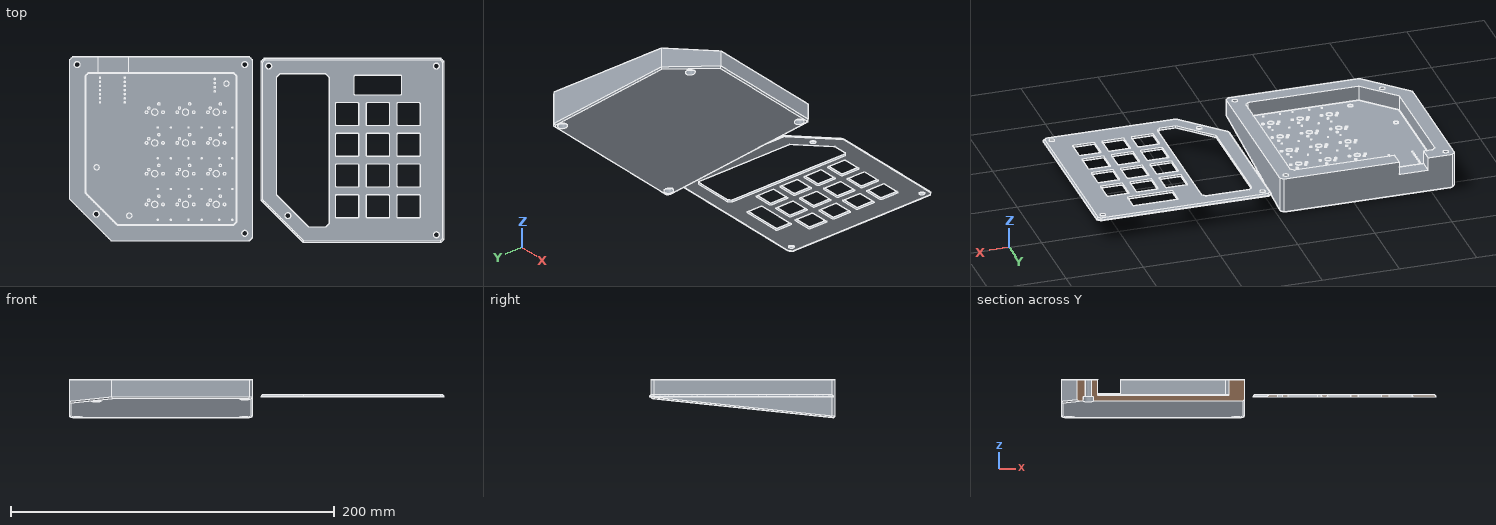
import cadquery as cq
import math

outline_width = 113.2
outline_length = 114.0
outline_cut = 26.2
corner_bevel = 2.0

case_height = 23.5
wall = 9.7
pocket_cut = 20.0
bottom_slope = 6.0
bottom_chamfer = 1.0
notch_width = 18.8
notch_center_x = 27.0
notch_depth = 8.5

screw_diameter = 3.5
screw_inset = 4.9
cut_screw = (16.7, 16.7)
head_diameter = 6.0
head_depth = 3.0

board_top_depth = 9.3
board_thickness = 0.35
board_gap = 0.5
pocket_depth = board_top_depth + board_thickness
mount_diameter = 3.2
mount_points = [(17.0, 45.5), (37.0, 15.7), (97.0, 97.2)]

key_pitch = 19.0
key_columns = 3
key_rows = 4
board_keys_center = (71.8, 51.2)
stem_diameter = 4.0
guide_diameter = 1.7
guide_offset = 5.0
contact_diameter = 1.5
contact_points = [(-3.7, 2.5), (2.5, 5.0)]
diode_diameter = 0.8
diode_points = [(1.9, -9.5), (10.0, -9.5)]

pin_pitch = 2.5
controller_pin_diameter = 0.88
controller_pins = 7
controller_center_y = 93.3
controller_row_spacing = 15.3
controller_center_x = 26.6
display_pin_diameter = 1.0
display_pins = 4
display_pins_center = (89.8, 96.3)

plate_corner = (118.3, -1.0)
plate_bottom = -10.9
plate_thickness = 1.5
plate_chamfer = 1.0
window_right = 42.1
key_opening = 14.1
plate_keys_center = (72.2, 51.0)
opening_radius = 0.5
display_width = 29.2
display_length = 12.0
display_center = (72.2, 97.2)


def cut_corner_prism(left, front, right, rear, cut, bevel, bottom, height):
    """Upright prism on a rectangle with a 45 degree front left corner and three small bevelled corners."""
    points = [
        (left + cut, front),
        (right, front),
        (right, rear),
        (left, rear),
        (left, front + cut),
    ]
    prism = cq.Workplane("XY", origin=(0, 0, bottom)).polyline(points).close().extrude(height)
    for x, y in points[1:4]:
        prism = prism.edges(cq.selectors.NearestToPointSelector((x, y, bottom + height / 2))).chamfer(bevel)
    return prism


def pegs(points, diameter, bottom, height):
    """Upright cylinders for drilling holes at the given points."""
    return cq.Workplane("XY", origin=(0, 0, bottom)).pushPoints(points).circle(diameter / 2).extrude(height)


def key_centers(center):
    """Centres of all the keys of a keypad with the given middle."""
    return [
        (
            center[0] + (column - (key_columns - 1) / 2) * key_pitch,
            center[1] + (row - (key_rows - 1) / 2) * key_pitch,
        )
        for column in range(key_columns)
        for row in range(key_rows)
    ]


def around_keys(offsets):
    """The given offsets repeated around every key centre of the board."""
    return [(x + dx, y + dy) for x, y in key_centers(board_keys_center) for dx, dy in offsets]


def pin_row(x, center_y, count):
    """Points of one header row running along Y."""
    return [(x, center_y + (i - (count - 1) / 2) * pin_pitch) for i in range(count)]


screw_points = [
    (screw_inset, outline_length - screw_inset),
    (outline_width - screw_inset, outline_length - screw_inset),
    (outline_width - screw_inset, screw_inset),
    cut_screw,
]


def bottom_height(y):
    """Z of the sloping underside at a given Y; its chamfered rear edge is the lowest line of the case."""
    slope = math.radians(bottom_slope)
    lowest_y = outline_length - bottom_chamfer * math.cos(slope)
    return -case_height + (lowest_y - y) * math.tan(slope)


def make_case():
    rear_depth = -bottom_height(outline_length)
    body = cut_corner_prism(
        0, 0, outline_width, outline_length, outline_cut, corner_bevel, -rear_depth, rear_depth
    )

    side_profile = [
        (0, 0),
        (0, bottom_height(0)),
        (outline_length, bottom_height(outline_length)),
        (outline_length, 0),
    ]
    wedge = cq.Workplane("YZ").polyline(side_profile).close().extrude(outline_width)
    body = body.intersect(wedge).faces("<Z").chamfer(bottom_chamfer)

    pocket = cut_corner_prism(
        wall, wall, outline_width - wall, outline_length - wall,
        pocket_cut, corner_bevel, -pocket_depth, pocket_depth,
    )
    body = body.cut(pocket)

    notch = cq.Workplane("XY").box(notch_width, wall, notch_depth)
    body = body.cut(notch.translate((notch_center_x, outline_length - wall / 2, -notch_depth / 2)))

    body = body.cut(pegs(screw_points, screw_diameter, -rear_depth, rear_depth))
    for x, y in screw_points:
        seat = bottom_height(y) + head_depth
        body = body.cut(pegs([(x, y)], head_diameter, -rear_depth, rear_depth + seat))
    return body


def make_board():
    bottom = -pocket_depth
    edge = wall + board_gap
    board_cut = pocket_cut - (2 - math.sqrt(2)) * board_gap
    board = cut_corner_prism(
        edge, edge, outline_width - edge, outline_length - edge,
        board_cut, corner_bevel - board_gap, bottom, board_thickness,
    )

    half_spacing = controller_row_spacing / 2
    controller_points = [
        point
        for x in (controller_center_x - half_spacing, controller_center_x + half_spacing)
        for point in pin_row(x, controller_center_y, controller_pins)
    ]
    holes = [
        (mount_points, mount_diameter),
        (key_centers(board_keys_center), stem_diameter),
        (around_keys([(-guide_offset, 0), (guide_offset, 0)]), guide_diameter),
        (around_keys(contact_points), contact_diameter),
        (around_keys(diode_points), diode_diameter),
        (controller_points, controller_pin_diameter),
        (pin_row(*display_pins_center, display_pins), display_pin_diameter),
    ]
    for points, diameter in holes:
        board = board.cut(pegs(points, diameter, bottom, board_thickness))
    return board


def rounded_openings(points, width, length):
    """Upright blocks with rounded corners for cutting rectangular openings in the plate."""
    blocks = cq.Workplane("XY").pushPoints(points).rect(width, length).extrude(plate_thickness)
    return blocks.edges("|Z").fillet(opening_radius)


def make_plate():
    plate = cut_corner_prism(
        0, 0, outline_width, outline_length, outline_cut, corner_bevel, 0, plate_thickness
    )
    plate = plate.faces(">Z").chamfer(plate_chamfer)

    window = cut_corner_prism(
        wall, wall, window_right, outline_length - wall, pocket_cut, corner_bevel, 0, plate_thickness
    )
    plate = plate.cut(window)

    plate = plate.cut(rounded_openings(key_centers(plate_keys_center), key_opening, key_opening))
    plate = plate.cut(rounded_openings([display_center], display_width, display_length))
    plate = plate.cut(pegs(screw_points, screw_diameter, 0, plate_thickness))
    return plate.translate((*plate_corner, plate_bottom))


case = make_case()
board = make_board()
plate = make_plate()

result = cq.Compound.makeCompound([case.val(), board.val(), plate.val()])